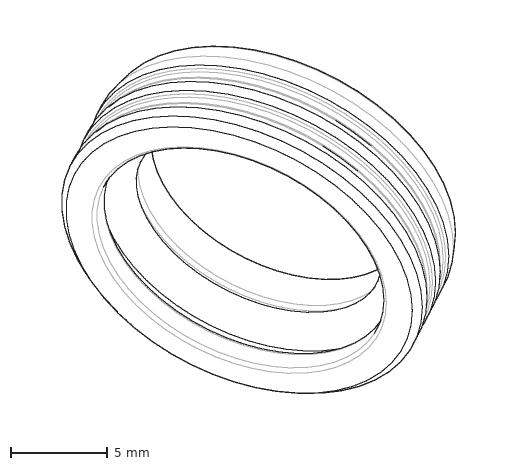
import cadquery as cq
import math

outer_radius = 10.05
ring_width = 6.0

front_chamfer = 0.4
ridge_pitch = 1.89
first_ridge_end = 1.08
groove_depth = 0.2
groove_ramp = 0.48
groove_end = 2.3
groove_fillet = 0.25
groove_count = 2
taper_angle = 15.0
taper_edge_radius = 0.25
taper_start = first_ridge_end + groove_count * ridge_pitch

front_bore_radius = 8.0
rear_bore_radius = 7.23
bore_edge_radius = 0.2
seat_front = 1.39
seat_rear = 3.85
seat_edge_radius = 0.2

seal_section_radius = 1.0
seal_inner_radius = 6.89
seal_center_radius = seal_inner_radius + seal_section_radius
seal_center_y = 2.8

seat_radius = seal_center_radius + seal_section_radius


def revolve_about_y(profile):
    """Turn a profile, drawn as (radius, y), once around the Y axis."""
    return profile.revolve(360, (0, 0, 0), (0, 1, 0))


def circle_edges_at(body, radius, y):
    """Select the circular edges of a body with this radius and axial place."""
    tolerance = 0.002
    return body.edges(
        cq.selectors.BoxSelector(
            (-radius - tolerance, y - tolerance, -radius - tolerance),
            (radius + tolerance, y + tolerance, radius + tolerance),
            boundingbox=True,
        )
    ).edges(cq.selectors.RadiusNthSelector(-1))


def make_blank():
    """Ring with a front chamfer, a rear taper and a stepped bore with a seat."""
    taper_drop = (ring_width - taper_start) * math.tan(math.radians(taper_angle))
    profile = cq.Workplane("XY").polyline([
        (front_bore_radius, 0),
        (outer_radius - front_chamfer, 0),
        (outer_radius, front_chamfer),
        (outer_radius, taper_start),
        (outer_radius - taper_drop, ring_width),
        (rear_bore_radius, ring_width),
        (rear_bore_radius, seat_rear),
        (seat_radius, seat_rear),
        (seat_radius, seat_front),
        (front_bore_radius, seat_front),
    ]).close()
    blank = revolve_about_y(profile)
    rounded_edges = [
        (front_bore_radius, 0, bore_edge_radius),
        (front_bore_radius, seat_front, seat_edge_radius),
        (rear_bore_radius, seat_rear, seat_edge_radius),
        (outer_radius - taper_drop, ring_width, taper_edge_radius),
    ]
    for radius, y, fillet in rounded_edges:
        blank = circle_edges_at(blank, radius, y).fillet(fillet)
    return blank


def make_groove_cutter(start):
    """Groove with a shallow front side, a 45 degree rear side and rounded floor."""
    floor_radius = outer_radius - groove_depth
    end = start + groove_end - first_ridge_end
    floor_start = start + groove_ramp
    floor_end = end - groove_depth
    profile = cq.Workplane("XY").polyline([
        (outer_radius, start),
        (floor_radius, floor_start),
        (floor_radius, floor_end),
        (outer_radius, end),
    ]).close()
    cutter = revolve_about_y(profile)
    for y in (floor_start, floor_end):
        cutter = circle_edges_at(cutter, floor_radius, y).fillet(groove_fillet)
    return cutter


def make_housing():
    housing = make_blank()
    for index in range(groove_count):
        housing = housing.cut(make_groove_cutter(first_ridge_end + index * ridge_pitch))
    return housing


def make_seal():
    profile = cq.Workplane("XY").center(seal_center_radius, seal_center_y).circle(seal_section_radius)
    return profile.revolve(360, (-seal_center_radius, 0, 0), (-seal_center_radius, 1, 0))


housing = make_housing()
seal = make_seal()
result = cq.Compound.makeCompound([housing.val(), seal.val()])